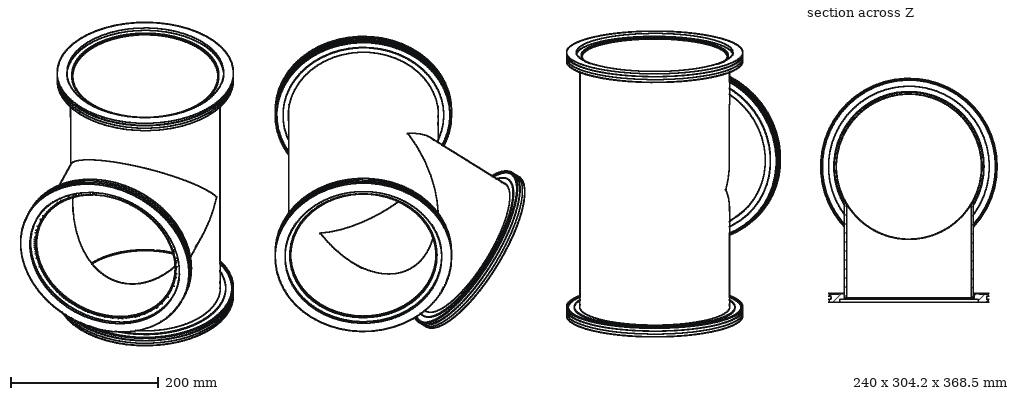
import cadquery as cq

run_length = 368.5
face_distance = run_length / 2

tube_outer_diameter = 203.5
tube_bore_diameter = 197.0

flange_diameter = 240.0
flange_thickness = 12.0
flange_bore_diameter = 200.0
socket_diameter = 204.0
face_recess_diameter = 213.0
face_recess_depth = 4.0
back_groove_inner_diameter = 218.5
back_groove_outer_diameter = 235.0
back_groove_depth = 1.0
rim_groove_diameter = 235.0
rim_groove_width = 4.0
tube_setback = 6.0

tube_reach = face_distance - tube_setback
branch_plane = cq.Plane(origin=(0, 0, 0), xDir=(1, 0, 0), normal=(0, -1, 0))


def disc(diameter, bottom, top):
    """Solid cylinder on the Z axis between two heights."""
    return cq.Workplane("XY").workplane(offset=bottom).circle(diameter / 2).extrude(top - bottom)


def make_rim_groove(mid_height):
    """Ring with a rounded inner side, cut into the flange rim."""
    rim_radius = flange_diameter / 2
    half_width = rim_groove_width / 2
    return (
        cq.Workplane("XZ")
        .moveTo(rim_radius, mid_height - half_width)
        .threePointArc(
            (rim_groove_diameter / 2, mid_height),
            (rim_radius, mid_height + half_width),
        )
        .close()
        .revolve(360, (0, 0, 0), (0, 1, 0))
    )


def make_flange():
    """Flange on the Z axis with its sealing face up, at the end of an arm of the tee."""
    face = face_distance
    back = face - flange_thickness
    back_groove_floor = back + back_groove_depth

    body = disc(flange_diameter, back, face)
    body = body.cut(disc(flange_bore_diameter, back, face))
    body = body.cut(disc(socket_diameter, back, tube_reach))
    body = body.cut(disc(face_recess_diameter, face - face_recess_depth, face))
    back_groove = disc(back_groove_outer_diameter, back, back_groove_floor).cut(
        disc(back_groove_inner_diameter, back, back_groove_floor)
    )
    body = body.cut(back_groove)
    return body.cut(make_rim_groove((back + face) / 2))


def branch_cylinder(diameter):
    """Solid cylinder from the tee centre to the end of the branch tube."""
    return cq.Workplane(branch_plane).circle(diameter / 2).extrude(tube_reach)


def make_mitre():
    """Wedge that bounds the branch by two 45 degree planes meeting on the X axis."""
    return (
        cq.Workplane("YZ")
        .polyline([(0, 0), (-tube_reach, tube_reach), (-tube_reach, -tube_reach)])
        .close()
        .extrude(flange_diameter / 2, both=True)
    )


def make_run_tube():
    """Straight tube with a mitred notch for the branch."""
    tube = disc(tube_outer_diameter, -tube_reach, tube_reach)
    tube = tube.cut(disc(tube_bore_diameter, -tube_reach, tube_reach))
    return tube.cut(make_mitre())


def make_branch_tube():
    """Side tube with a mitred end that fits the notch in the run."""
    tube = branch_cylinder(tube_outer_diameter).cut(branch_cylinder(tube_bore_diameter))
    return tube.intersect(make_mitre())


run_tube = make_run_tube()
branch_tube = make_branch_tube()

flange_angles = [0, 180, 90]
flanges = [make_flange().rotate((0, 0, 0), (1, 0, 0), angle) for angle in flange_angles]

result = cq.Compound.makeCompound(
    [run_tube.val(), branch_tube.val(), *[flange.val() for flange in flanges]]
)